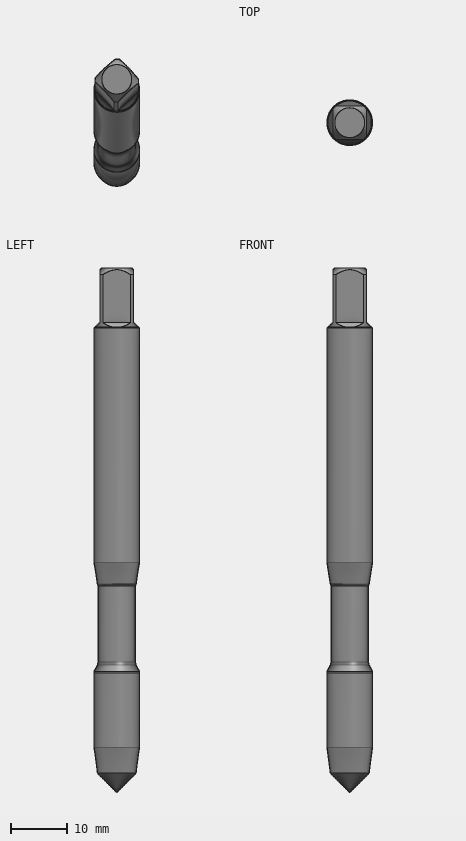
import cadquery as cq

total_length = 93.25
body_radius = 8.1 / 2

point_radius = 3.45
point_height = point_radius
lead_top_z = 8.0
head_top_z = 21.3

neck_radius = 6.6 / 2
shoulder_radius = 3.45
shoulder_cone_bottom_z = 21.5
neck_bottom_z = 22.7
neck_blend_top_z = 23.2
neck_top_z = 36.7
neck_step_height = 0.3
shank_bottom_z = 40.8

shank_top_z = 82.5
square_width = 6.0
square_corner_radius = 7.7 / 2
square_chamfer = 1.2
runout_height = 0.8
rim_height = 0.2


def revolve_profile(points):
    """Revolve a closed (radius, z) outline about the Z axis."""
    return cq.Workplane("XZ").polyline(points).close().revolve(360, (0, 0, 0), (0, 1, 0))


def make_cutting_head():
    """Pointed head with a tapered lead, ending in a flat top face."""
    return revolve_profile([
        (0, 0),
        (point_radius, point_height),
        (body_radius, lead_top_z),
        (body_radius, head_top_z),
        (0, head_top_z),
    ])


def make_driving_square():
    """Round bar with four flats, a conical top chamfer and sloping flat ends."""
    square_start_z = shank_top_z + rim_height
    bar_height = total_length - square_start_z
    round_bar = (
        cq.Workplane("XY", origin=(0, 0, square_start_z))
        .circle(square_corner_radius)
        .extrude(bar_height)
        .faces(">Z")
        .chamfer(square_chamfer)
    )
    square_half = square_width / 2
    foot_half = square_half + runout_height
    runout_top_z = square_start_z + runout_height
    flats_profile = (
        cq.Workplane("XZ")
        .polyline([
            (-foot_half, square_start_z),
            (foot_half, square_start_z),
            (square_half, runout_top_z),
            (square_half, total_length),
            (-square_half, total_length),
            (-square_half, runout_top_z),
        ])
        .close()
        .extrude(body_radius, both=True)
    )
    for angle in (0, 90):
        round_bar = round_bar.intersect(flats_profile.rotate((0, 0, 0), (0, 0, 1), angle))
    return round_bar


def make_shank():
    """Shank with the neck below it and the driving square on top."""
    rim_top_z = shank_top_z + rim_height
    turned = revolve_profile([
        (0, head_top_z),
        (body_radius, head_top_z),
        (body_radius, shoulder_cone_bottom_z),
        (shoulder_radius, neck_bottom_z),
        (neck_radius, neck_blend_top_z),
        (neck_radius, neck_top_z),
        (shoulder_radius, neck_top_z + neck_step_height),
        (body_radius, shank_bottom_z),
        (body_radius, shank_top_z),
        (square_corner_radius, rim_top_z),
        (0, rim_top_z),
    ])
    return turned.union(make_driving_square())


cutting_head = make_cutting_head()
shank = make_shank()

result = cq.Compound.makeCompound([cutting_head.val(), shank.val()])